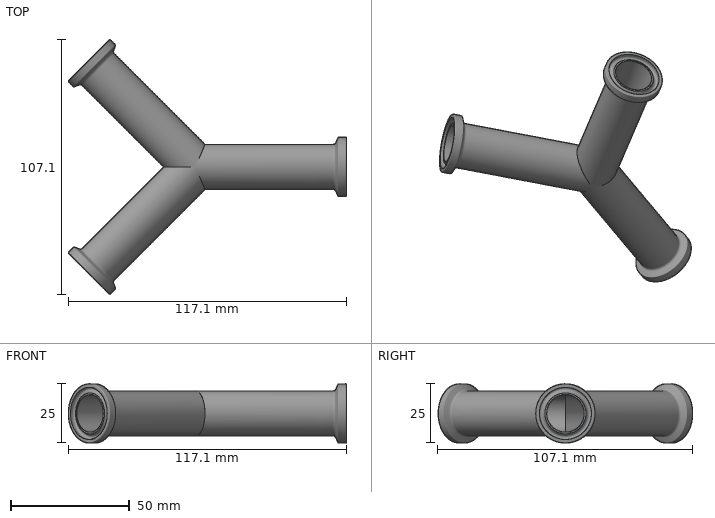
import math

import cadquery as cq

ARM_LENGTH = 63.5
ARM_ANGLES = (0, 135, 225)

TUBE_RADIUS = 19.05 / 2
BORE_RADIUS = 15.75 / 2

FERRULE_LENGTH = 12.7
FLANGE_RADIUS = 24.99 / 2
FLANGE_THICKNESS = 3.5
FLANGE_CONE_ANGLE = math.radians(25)
FRONT_RIM_FILLET = 0.4
BACK_RIM_FILLET = 0.2
NECK_FILLET = 1.0

GROOVE_RADIUS = 21.89 / 2
GROOVE_INNER_WALL_ANGLE = math.radians(35)
GROOVE_BOTTOM_FILLET = 0.86
LAND_RADIUS = 8.62
LAND_SETBACK = 0.7

SEAM = ARM_LENGTH - FERRULE_LENGTH


def tube():
    """Solid tube along +X, from the origin to the ferrule seam."""
    return cq.Workplane("YZ").circle(TUBE_RADIUS).extrude(SEAM)


def bore():
    """Cylinder along +X that opens one arm from the origin to its end."""
    return cq.Workplane("YZ").circle(BORE_RADIUS).extrude(ARM_LENGTH)


def ring_edge(axial, radius):
    """Selector for the circular edges about the X axis at one axial place, up to a given radius."""
    margin = 0.01
    low = (axial - margin, -radius - margin, -radius - margin)
    high = (axial + margin, radius + margin, radius + margin)
    return cq.selectors.BoxSelector(low, high, boundingbox=True)


def flange_body():
    """Solid ferrule: straight neck, conical clamp seat and rounded rim."""
    flange_back = ARM_LENGTH - FLANGE_THICKNESS
    cone_length = (FLANGE_RADIUS - TUBE_RADIUS) * math.tan(FLANGE_CONE_ANGLE)
    cone_root = flange_back - cone_length
    body = (
        cq.Workplane("XY")
        .moveTo(SEAM, 0)
        .lineTo(SEAM, TUBE_RADIUS)
        .lineTo(cone_root, TUBE_RADIUS)
        .lineTo(flange_back, FLANGE_RADIUS)
        .lineTo(ARM_LENGTH, FLANGE_RADIUS)
        .lineTo(ARM_LENGTH, 0)
        .close()
        .revolve(360, (0, 0, 0), (1, 0, 0))
    )
    body = body.edges(ring_edge(cone_root, TUBE_RADIUS)).fillet(NECK_FILLET)
    body = body.edges(ring_edge(flange_back, FLANGE_RADIUS)).fillet(BACK_RIM_FILLET)
    return body.edges(ring_edge(ARM_LENGTH, FLANGE_RADIUS)).fillet(FRONT_RIM_FILLET)


def face_recess():
    """Material removed from the ferrule face: the set-back land and the round-bottomed groove."""
    land = ARM_LENGTH - LAND_SETBACK
    corner = land - (GROOVE_RADIUS - LAND_RADIUS) / math.tan(GROOVE_INNER_WALL_ANGLE)
    recess = (
        cq.Workplane("XY")
        .moveTo(ARM_LENGTH, 0)
        .lineTo(ARM_LENGTH, GROOVE_RADIUS)
        .lineTo(corner, GROOVE_RADIUS)
        .lineTo(land, LAND_RADIUS)
        .lineTo(land, 0)
        .close()
        .revolve(360, (0, 0, 0), (1, 0, 0))
    )
    return recess.edges(ring_edge(corner, GROOVE_RADIUS)).fillet(GROOVE_BOTTOM_FILLET)


def in_arm_direction(shape, angle):
    return shape.rotate((0, 0, 0), (0, 0, 1), angle)


ferrule = flange_body().cut(face_recess()).cut(bore())

junction = cq.Workplane("XY")
for arm_angle in ARM_ANGLES:
    junction = junction.union(in_arm_direction(tube(), arm_angle))
for arm_angle in ARM_ANGLES:
    junction = junction.cut(in_arm_direction(bore(), arm_angle))

result = junction
for arm_angle in ARM_ANGLES:
    result = result.union(in_arm_direction(ferrule, arm_angle), clean=False)